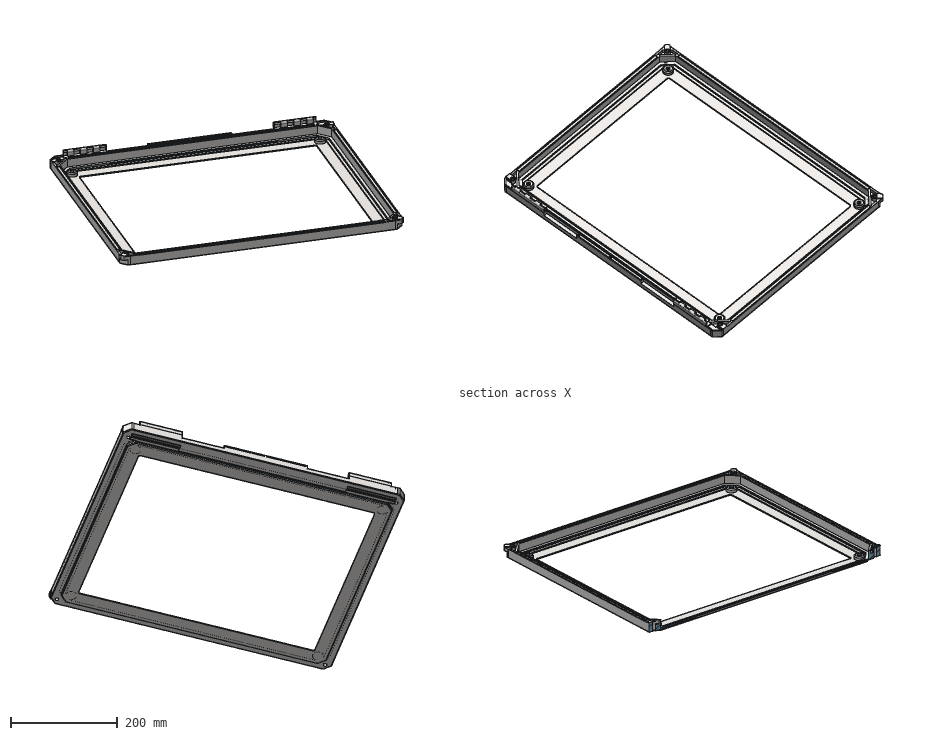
import cadquery as cq

LENGTH = 553.5
WIDTH = 461.5
HINGE_STRIP = 9.0
LEFT = -WIDTH / 2
FRAME_HALF_X = (WIDTH - HINGE_STRIP) / 2
FRAME_HALF_Y = LENGTH / 2
FRAME_X = HINGE_STRIP / 2

WINDOW_PLATE_TOP = 2.0
GASKET_STEP_Z = 4.5
BODY_BOTTOM = 6.0
LEDGE_Z = 8.5
CAP_BOTTOM = 17.5
BODY_TOP = 25.0
POST_TOP = 27.0
HINGE_TOP = 36.5

CORNER_LEG = 13.0
CAP_LEG = 4.5
CORNER_BLOCK = 17.0
SIDE_RELIEF = 0.3
SKIRT_INSET = 15.5
SKIRT_LEG = 13.5
BOTTOM_CHAMFER = 1.5
CAVITY_INSET = 10.5
CAVITY_LEG = 21.0
GASKET_INSET = 16.5
GASKET_LEG = 19.0
PLATE_INSET = 22.0
PLATE_LEG = 13.5
OPENING_INSET = 44.5
OPENING_RADIUS = 3.5

GROOVE_INSET = 2.0
GROOVE_WIDTH = 6.0
GROOVE_DEPTH = 1.5
GROOVE_END = 35.5

POCKET_INSET = 4.5
POCKET_LEG = 27.5
POST_DIAMETER = 11.0
POST_INSET = 13.0
HINGE_POST_HOLE = 5.5
LATCH_POST_HOLE = 6.5
POST_BORE = 8.0
POST_BORE_DEPTH = 3.0

DECK_LIP = 3.0
DECK_WIDTH = 11.5
DECK_END = 27.5
DECK_DEPTH = 3.0
DECK_CORNER_LEG = 11.0

PAD_BOTTOM = 4.5
PAD_START = 16.5
PAD_INSET = 10.0
PAD_GAP_START = 15.0
PAD_GAP_END = 18.0

BOSS_INSET = 34.0
BOSS_DIAMETER = 20.5
BOSS_TOP = 10.0
BOSS_CHAMFER = 2.0
BOSS_BORE = 8.0
BOSS_BORE_BOTTOM = 6.5
BOSS_PILOT = 5.5
BOSS_PILOT_BOTTOM = 3.5

BARREL_DIAMETER = 8.0
PIN_DIAMETER = 3.5
BARREL_START = 29.5
BARREL_END = 112.5
RECESS_END = 195.0
RECESS_FLOOR = 17.0
KNUCKLE_PITCH = 25.5
FIRST_GAP = 55.0
GAP_COUNT = 3
GAP_LENGTH = 12.0
END_GAP_LENGTH = 6.5
GAP_WALL = 3.5
GAP_WIDTH = 4.5
TRAY_START = 197.0
TRAY_RIB = 3.5
TRAY_WALL = 2.0
TRAY_WIDTH = 5.5
TRAY_DEPTH = 1.5


def box(x0, x1, y0, y1, z0, z1):
    """Box between two opposite corners."""
    return cq.Workplane("XY").box(x1 - x0, y1 - y0, z1 - z0, centered=False).translate((x0, y0, z0))


def cylinder(x, y, diameter, z0, z1):
    """Upright cylinder."""
    return cq.Workplane("XY", origin=(x, y, z0)).circle(diameter / 2).extrude(z1 - z0)


def cut_corner_plate(inset, leg, z0, z1):
    """Plate parallel to the frame sides with its four vertical corners cut at 45 degrees."""
    size_x = 2 * (FRAME_HALF_X - inset)
    size_y = 2 * (FRAME_HALF_Y - inset)
    plate = cq.Workplane("XY", origin=(FRAME_X, 0, z0)).rect(size_x, size_y).extrude(z1 - z0)
    return plate.edges("|Z").chamfer(leg)


def corner_point(side_x, side_y, inset):
    """Point set in equally from both sides of one frame corner."""
    return FRAME_X + side_x * (FRAME_HALF_X - inset), side_y * (FRAME_HALF_Y - inset)


def mirrored_pair(solid):
    """The solid together with its copy at the other end of the part."""
    return solid.union(solid.mirror("XZ"))


def outer_body():
    """Solid outside shape: the body, the wider latch caps and the skirt."""
    body = box(LEFT, -LEFT, -FRAME_HALF_Y, FRAME_HALF_Y, BODY_BOTTOM, CAP_BOTTOM)
    body = body.edges("|Z").chamfer(CORNER_LEG).faces("<Z").edges().chamfer(BOTTOM_CHAMFER)
    upper = box(LEFT, -LEFT, -FRAME_HALF_Y, FRAME_HALF_Y, CAP_BOTTOM, BODY_TOP)
    upper = upper.edges("|Z and <X").chamfer(CORNER_LEG)
    upper = upper.edges("|Z and >X").chamfer(CAP_LEG)
    skirt = cut_corner_plate(SKIRT_INSET, SKIRT_LEG, 0, BODY_BOTTOM)
    skirt = skirt.faces("<Z").edges().chamfer(BOTTOM_CHAMFER)
    return body.union(upper).union(skirt)


def side_reliefs():
    """Thin layers removed from the outside faces between the corner blocks."""
    half_y = FRAME_HALF_Y - CORNER_BLOCK
    reliefs = mirrored_pair(box(LEFT + CORNER_BLOCK, -LEFT - CORNER_BLOCK,
                                FRAME_HALF_Y - SIDE_RELIEF, FRAME_HALF_Y, BODY_BOTTOM, POST_TOP))
    for x in (LEFT, -LEFT - SIDE_RELIEF):
        reliefs = reliefs.union(box(x, x + SIDE_RELIEF, -half_y, half_y, BODY_BOTTOM, POST_TOP))
    return reliefs


def hinge_pads():
    """Narrow pads under the +Y hinge, reaching in to the skirt."""
    y0 = FRAME_HALF_Y - BARREL_END
    y1 = FRAME_HALF_Y - PAD_START
    outer = box(LEFT + PAD_INSET, LEFT + PAD_GAP_START, y0, y1, PAD_BOTTOM, BODY_BOTTOM)
    skirt_x = LEFT + HINGE_STRIP + SKIRT_INSET
    return outer.union(box(LEFT + PAD_GAP_END, skirt_x, y0, y1, PAD_BOTTOM, BODY_BOTTOM))


def deck_recess():
    """Shallow recess in the top of the +Y hinge-side corner, leaving a thin lip."""
    x0 = LEFT + DECK_LIP
    recess = box(x0, x0 + DECK_WIDTH, FRAME_HALF_Y - DECK_END, FRAME_HALF_Y - DECK_LIP,
                 BODY_TOP - DECK_DEPTH, BODY_TOP)
    return recess.edges("|Z and <X and >Y").chamfer(DECK_CORNER_LEG)


def cavity():
    """Stepped inside of the frame, down to and through the window plate."""
    space = cut_corner_plate(CAVITY_INSET, CAVITY_LEG, LEDGE_Z, BODY_TOP)
    space = space.union(cut_corner_plate(GASKET_INSET, GASKET_LEG, GASKET_STEP_Z, LEDGE_Z))
    space = space.union(cut_corner_plate(PLATE_INSET, PLATE_LEG, WINDOW_PLATE_TOP, GASKET_STEP_Z))
    opening = cq.Workplane("XY", origin=(FRAME_X, 0, 0)).rect(
        2 * (FRAME_HALF_X - OPENING_INSET), 2 * (FRAME_HALF_Y - OPENING_INSET)
    ).extrude(WINDOW_PLATE_TOP)
    return space.union(opening.edges("|Z").fillet(OPENING_RADIUS))


def rim_grooves():
    """One straight groove in the top of each frame side."""
    half_x = FRAME_HALF_X - GROOVE_END
    half_y = FRAME_HALF_Y - GROOVE_END
    floor = BODY_TOP - GROOVE_DEPTH
    y0 = FRAME_HALF_Y - GROOVE_INSET - GROOVE_WIDTH
    grooves = mirrored_pair(box(FRAME_X - half_x, FRAME_X + half_x, y0, y0 + GROOVE_WIDTH, floor, BODY_TOP))
    x0 = FRAME_HALF_X - GROOVE_INSET - GROOVE_WIDTH
    for x in (FRAME_X + x0, FRAME_X - x0 - GROOVE_WIDTH):
        grooves = grooves.union(box(x, x + GROOVE_WIDTH, -half_y, half_y, floor, BODY_TOP))
    return grooves


def corner_pocket(side_x, side_y):
    """Triangular pocket between the outside walls and the diagonal cavity wall."""
    x, y = corner_point(side_x, side_y, POCKET_INSET)
    outer = [(x, y), (x - side_x * POCKET_LEG, y), (x, y - side_y * POCKET_LEG)]
    pocket = cq.Workplane("XY", origin=(0, 0, CAP_BOTTOM)).polyline(outer).close()
    pocket = pocket.extrude(BODY_TOP - CAP_BOTTOM)
    return pocket.intersect(cut_corner_plate(POCKET_INSET, CORNER_LEG, CAP_BOTTOM, BODY_TOP))


def corner_post(side_x, side_y):
    """Round-ended post: square to the end on the hinge side, diagonal on the latch side."""
    x, y = corner_point(side_x, side_y, POST_INSET)
    height = POST_TOP - CAP_BOTTOM
    reach = 2 * POST_INSET
    arm = cq.Workplane("XY").box(POST_DIAMETER, reach, height, centered=(True, False, False))
    turn = 0 if side_x < 0 else -45
    arm = arm.rotate((0, 0, 0), (0, 0, 1), turn)
    if side_y < 0:
        arm = arm.mirror("XZ")
    arm = arm.translate((x, y, CAP_BOTTOM))
    post = arm.union(cylinder(x, y, POST_DIAMETER, CAP_BOTTOM, POST_TOP))
    limit = cut_corner_plate(0, CAP_LEG, CAP_BOTTOM, POST_TOP)
    return post.intersect(limit)


def screw_boss(x, y):
    """Boss for a screw, rising from the window plate."""
    boss = cylinder(x, y, BOSS_DIAMETER, WINDOW_PLATE_TOP, BOSS_TOP)
    return boss.faces(">Z").edges().chamfer(BOSS_CHAMFER)


def screw_bore(x, y):
    """Blind stepped bore of a screw boss."""
    bore = cylinder(x, y, BOSS_BORE, BOSS_BORE_BOTTOM, BOSS_TOP)
    return bore.union(cylinder(x, y, BOSS_PILOT, BOSS_PILOT_BOTTOM, BOSS_BORE_BOTTOM))


def hinge_barrel():
    """Barrel on a straight web at the +Y end, with a pin hole and gaps between knuckles."""
    radius = BARREL_DIAMETER / 2
    x = LEFT + radius
    z = HINGE_TOP - radius
    y0 = FRAME_HALF_Y - BARREL_END
    y1 = FRAME_HALF_Y - BARREL_START
    along_y = cq.Workplane("XZ", origin=(x, y1, z))
    barrel = along_y.circle(radius).extrude(y1 - y0)
    barrel = barrel.union(box(LEFT, LEFT + BARREL_DIAMETER, y0, y1, BODY_TOP, z))
    barrel = barrel.cut(along_y.circle(PIN_DIAMETER / 2).extrude(y1 - y0))
    gap_x = LEFT + GAP_WALL
    barrel = barrel.cut(box(gap_x, gap_x + GAP_WIDTH, y1 - END_GAP_LENGTH, y1, BODY_TOP, HINGE_TOP))
    for i in range(GAP_COUNT):
        y = FRAME_HALF_Y - FIRST_GAP - i * KNUCKLE_PITCH - GAP_LENGTH / 2
        barrel = barrel.cut(box(gap_x, gap_x + GAP_WIDTH, y, y + GAP_LENGTH, BODY_TOP, HINGE_TOP))
    return barrel


def hinge_strip_cuts():
    """Clearance recess beside the +Y barrel and the shallow tray next to it."""
    recess = box(LEFT, LEFT + BARREL_DIAMETER, FRAME_HALF_Y - RECESS_END, FRAME_HALF_Y - BARREL_END,
                 RECESS_FLOOR, BODY_TOP)
    tray_x = LEFT + TRAY_WALL
    tray = box(tray_x, tray_x + TRAY_WIDTH, TRAY_RIB / 2, FRAME_HALF_Y - TRAY_START,
               BODY_TOP - TRAY_DEPTH, BODY_TOP)
    return recess.union(tray)


result = outer_body().cut(cavity()).cut(rim_grooves()).cut(mirrored_pair(deck_recess()))

for side_x in (-1, 1):
    post_hole = HINGE_POST_HOLE if side_x < 0 else LATCH_POST_HOLE
    for side_y in (-1, 1):
        result = result.cut(corner_pocket(side_x, side_y)).union(corner_post(side_x, side_y))
        post_x, post_y = corner_point(side_x, side_y, POST_INSET)
        result = result.cut(cylinder(post_x, post_y, post_hole, 0, POST_TOP))
        result = result.cut(cylinder(post_x, post_y, POST_BORE, POST_TOP - POST_BORE_DEPTH, POST_TOP))
        boss_x, boss_y = corner_point(side_x, side_y, BOSS_INSET)
        result = result.union(screw_boss(boss_x, boss_y)).cut(screw_bore(boss_x, boss_y))

result = result.cut(side_reliefs()).union(mirrored_pair(hinge_pads()))
result = result.union(mirrored_pair(hinge_barrel())).cut(mirrored_pair(hinge_strip_cuts())).clean()